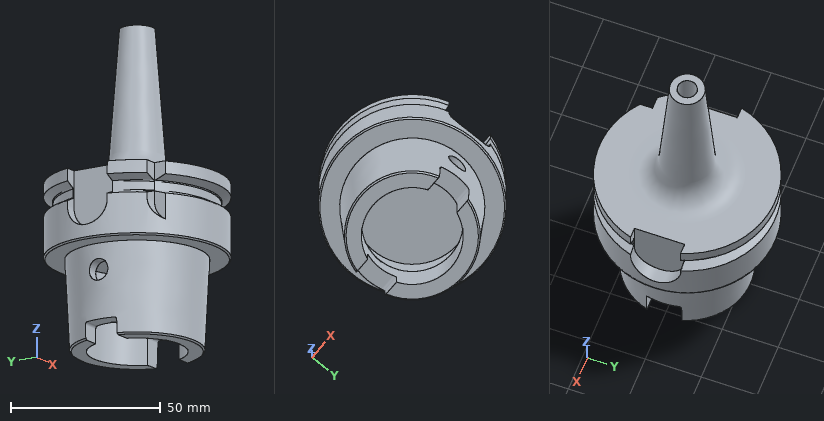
import cadquery as cq
import math

total_height = 112.0
shank_height = 32.0
flange_top = 58.0

shank_top_radius = 24.3
shank_taper = 0.05
shank_bottom_radius = shank_top_radius - shank_taper * shank_height
edge_chamfer = 0.6

flange_radius = 31.5
groove_root_radius = 28.2
groove_root_fillet = 0.5
groove_bottom = 46.8
groove_root_bottom = 48.2
groove_root_top = 51.7
groove_top = 53.5

tip_radius = 6.0
nose_fillet_radius = 10.0
nose_fillet_foot_radius = 19.5
tool_bore_radius = 3.4
tool_bore_depth = 35.8

shank_mouth_radius = 17.0
shank_mouth_height = 14.5
shank_bore_radius = 20.0
shank_bore_flare = math.radians(30)
cross_hole_radius = 3.7
cross_hole_height = 23.1

pocket_bottom = 37.0
pocket_floor = 26.4
narrow_pocket_width = 15.9
wide_pocket_width = 17.9
notch_floor = 19.9

drive_slot_width = 12.5
drive_slot_corner = 1.0
short_slot_height = 6.0
tall_slot_height = 10.1


def make_body():
    """Revolve the outside of the shank, flange and nose."""
    center_height = flange_top + nose_fillet_radius
    run = nose_fillet_foot_radius - tip_radius
    rise = total_height - center_height
    slant = math.hypot(run, rise)
    cone_angle = math.atan2(run, rise) - math.asin(nose_fillet_radius / slant)

    def fillet_point(angle):
        """Point on the fillet at an angle below the horizontal through its centre."""
        return (
            nose_fillet_foot_radius - nose_fillet_radius * math.cos(angle),
            center_height - nose_fillet_radius * math.sin(angle),
        )

    middle_angle = (cone_angle + math.pi / 2) / 2
    profile = (
        cq.Workplane("XZ")
        .lineTo(shank_bottom_radius - edge_chamfer, 0)
        .lineTo(shank_bottom_radius + shank_taper * edge_chamfer, edge_chamfer)
        .lineTo(shank_top_radius, shank_height)
        .lineTo(flange_radius - edge_chamfer, shank_height)
        .lineTo(flange_radius, shank_height + edge_chamfer)
        .lineTo(flange_radius, groove_bottom)
        .lineTo(groove_root_radius, groove_root_bottom)
        .lineTo(groove_root_radius, groove_root_top)
        .lineTo(flange_radius, groove_top)
        .lineTo(flange_radius, flange_top)
        .lineTo(nose_fillet_foot_radius, flange_top)
        .threePointArc(fillet_point(middle_angle), fillet_point(cone_angle))
        .lineTo(tip_radius, total_height)
        .lineTo(0, total_height)
        .close()
    )
    solid = profile.revolve(360, (0, 0, 0), (0, 1, 0))
    groove_root = cq.selectors.BoxSelector(
        (-flange_radius, -flange_radius, groove_root_bottom - groove_root_fillet),
        (flange_radius, flange_radius, groove_root_top + groove_root_fillet),
        boundingbox=True,
    )
    return solid.edges("%CIRCLE").edges(groove_root).fillet(groove_root_fillet)


def make_shank_bore():
    """Revolve the shank hollow: a narrow mouth that flares into a wider bore."""
    flare_height = (shank_bore_radius - shank_mouth_radius) / math.tan(shank_bore_flare)
    profile = (
        cq.Workplane("XZ")
        .lineTo(shank_mouth_radius, 0)
        .lineTo(shank_mouth_radius, shank_mouth_height)
        .lineTo(shank_bore_radius, shank_mouth_height + flare_height)
        .lineTo(shank_bore_radius, shank_height)
        .lineTo(0, shank_height)
        .close()
    )
    return profile.revolve(360, (0, 0, 0), (0, 1, 0))


def flange_pocket(side, width, floor, center_y=0):
    """Pocket open at the top and outward, on the -X (side -1) or +X (side 1) half."""
    radius = width / 2
    return (
        cq.Workplane("YZ", origin=(side * floor, center_y, 0))
        .moveTo(-radius, flange_top)
        .lineTo(-radius, pocket_bottom + radius)
        .threePointArc((0, pocket_bottom), (radius, pocket_bottom + radius))
        .lineTo(radius, flange_top)
        .close()
        .extrude(side * flange_radius)
    )


def drive_slot(side, height):
    """Slot through the shank wall on one side, with rounded upper corners."""
    return (
        cq.Workplane("XY")
        .center(side * flange_radius / 2, 0)
        .rect(flange_radius, drive_slot_width)
        .extrude(height)
        .edges("|X and >Z")
        .fillet(drive_slot_corner)
    )


body = make_body()

shank_bore = make_shank_bore()
tool_bore = (
    cq.Workplane("XY")
    .workplane(offset=total_height)
    .circle(tool_bore_radius)
    .extrude(-tool_bore_depth)
)
body = body.cut(shank_bore).cut(tool_bore)

cross_hole = (
    cq.Workplane("YZ")
    .center(0, cross_hole_height)
    .circle(cross_hole_radius)
    .extrude(flange_radius, both=True)
)
body = body.cut(cross_hole)

notch_center_y = -(notch_floor + narrow_pocket_width / 2)
body = body.cut(flange_pocket(-1, narrow_pocket_width, pocket_floor))
body = body.cut(flange_pocket(1, wide_pocket_width, pocket_floor))
body = body.cut(flange_pocket(-1, narrow_pocket_width, notch_floor, notch_center_y))

body = body.cut(drive_slot(-1, short_slot_height))
body = body.cut(drive_slot(1, tall_slot_height))

result = body